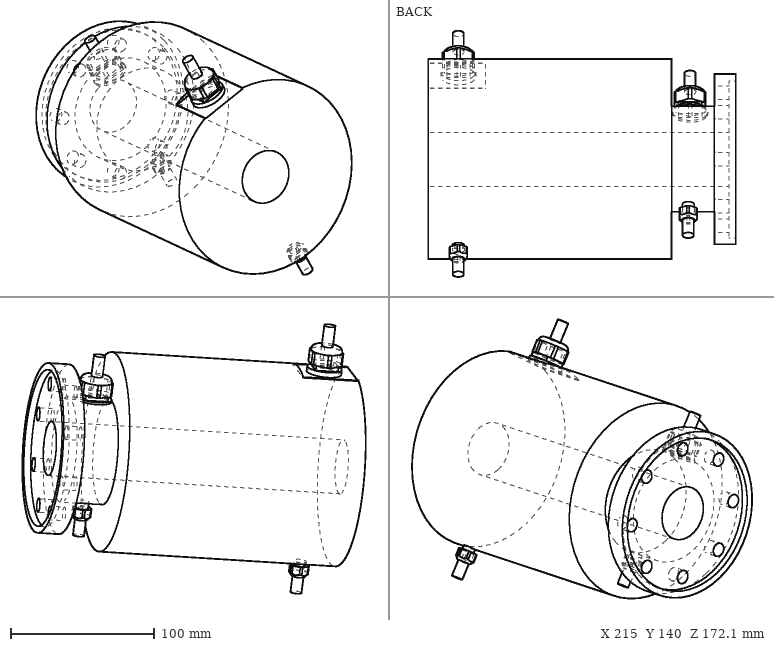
import cadquery as cq
import math


total_length = 215.0
flange_radius = 59.5
flange_length = 15.0
flange_recess_radius = 54.8
flange_recess_depth = 5.0
neck_radius = 37.0
neck_length = 29.9
drum_diameter = 140.0
drum_radius = drum_diameter / 2
bore_radius = 19.0
drum_start = flange_length + neck_length

bolt_count = 8
bolt_circle_radius = 46.5
bolt_hole_radius = 4.7

seat_length = 39.8
seat_width = 35.0
seat_height = 67.0

tilt = 30.0
neck_gland_x = 32.0
drum_gland_x = 194.0
neck_gland_height = neck_radius
drum_gland_height = seat_height
washer_radius = 12.3
neck_washer_thickness = 1.5
drum_washer_thickness = 3.5
collar_side = 16.1
collar_thickness = 3.2
nut_flats = 22.1
nut_corner_diameter = 24.3
nut_thickness = 9.0
cap_thickness = 3.7
cap_round = 3.5
cable_diameter = 8.0
cable_radius = cable_diameter / 2
cable_length = 14.8

fitting_tilt = tilt + 180.0
neck_fitting_x = 33.3
drum_fitting_x = drum_gland_x
drum_fitting_height = 72.9
neck_fitting_height = 41.5
fitting_shank_radius = 4.3
fitting_shank_length = 10.8
fitting_flats = 12.7
fitting_corner_radius = 6.9
fitting_hex_thickness = 8.2
fitting_chamfer_length = 2.5
fitting_chamfer_width = 2.4
fitting_tube_radius = cable_radius
fitting_tube_length = 11.8


def x_cylinder(x_start, length, radius):
    return cq.Workplane("YZ", origin=(x_start, 0, 0)).circle(radius).extrude(length)


def disc(height, thickness, radius):
    return cq.Workplane("XY", origin=(0, 0, height)).circle(radius).extrude(thickness)


def hexagon(height, thickness, flats, corner_radius):
    """Hexagonal prism with flats facing +X and -X and its corners turned down."""
    prism = (
        cq.Workplane("XY", origin=(0, 0, height))
        .transformed(rotate=(0, 0, 30))
        .polygon(6, flats / math.cos(math.radians(30)))
        .extrude(thickness)
    )
    return prism.intersect(disc(height, thickness, corner_radius))


def place_radially(shape, x, angle):
    """Turn a shape standing on Z about the X axis and move it along X."""
    return shape.rotate((0, 0, 0), (1, 0, 0), angle).translate((x, 0, 0))


def make_gland(x, height, washer_thickness):
    """Cable gland: washer, square collar, hexagon nut, rounded cap and cable end."""
    collar_base = height + washer_thickness
    nut_base = collar_base + collar_thickness
    cap_base = nut_base + nut_thickness
    cable_base = cap_base + cap_thickness
    collar = (
        cq.Workplane("XY", origin=(0, 0, collar_base))
        .rect(collar_side, collar_side)
        .extrude(collar_thickness)
    )
    cap = disc(cap_base, cap_thickness, nut_flats / 2).faces(">Z").edges().fillet(cap_round)
    gland = (
        disc(height, washer_thickness, washer_radius)
        .union(collar)
        .union(hexagon(nut_base, nut_thickness, nut_flats, nut_corner_diameter / 2))
        .union(cap)
        .union(disc(cable_base, cable_length, cable_radius))
    )
    return place_radially(gland, x, tilt)


def make_fitting(x, height):
    """Hose fitting: shank, hexagon chamfered at its outer end, and tube end."""
    tube_base = height + fitting_hex_thickness
    chamfered_disc = (
        disc(height, fitting_hex_thickness, fitting_corner_radius)
        .faces(">Z")
        .chamfer(fitting_chamfer_length, fitting_chamfer_width)
    )
    fitting = (
        hexagon(height, fitting_hex_thickness, fitting_flats, fitting_corner_radius)
        .intersect(chamfered_disc)
        .union(disc(height - fitting_shank_length, fitting_shank_length, fitting_shank_radius))
        .union(disc(tube_base, fitting_tube_length, fitting_tube_radius))
    )
    return place_radially(fitting, x, fitting_tilt)


def make_turned_body():
    body = (
        x_cylinder(0, flange_length, flange_radius)
        .union(x_cylinder(flange_length, neck_length, neck_radius))
        .union(x_cylinder(drum_start, total_length - drum_start, drum_radius))
    )
    bolt_holes = (
        cq.Workplane("YZ")
        .polarArray(bolt_circle_radius, 0, 360, bolt_count)
        .circle(bolt_hole_radius)
        .extrude(flange_length)
    )
    return (
        body.cut(x_cylinder(0, flange_recess_depth, flange_recess_radius))
        .cut(x_cylinder(0, total_length, bore_radius))
        .cut(bolt_holes)
    )


def make_drum_seat():
    """Cutter for the flat seat under the drum gland."""
    cutter = cq.Workplane("XY").box(
        seat_length, seat_width, drum_radius - seat_height, centered=(False, True, False)
    )
    return place_radially(cutter.translate((0, 0, seat_height)), total_length - seat_length, tilt)


slip_ring = (
    make_turned_body()
    .cut(make_drum_seat())
    .union(make_fitting(neck_fitting_x, neck_fitting_height))
    .union(make_fitting(drum_fitting_x, drum_fitting_height))
)

gland_settings = [
    (neck_gland_x, neck_gland_height, neck_washer_thickness),
    (drum_gland_x, drum_gland_height, drum_washer_thickness),
]
glands = [make_gland(*setting) for setting in gland_settings]

result = cq.Compound.makeCompound([slip_ring.val(), *[gland.val() for gland in glands]])